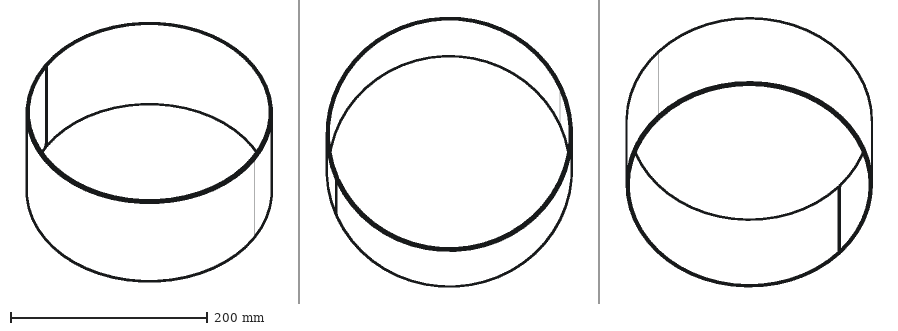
import cadquery as cq

outer_diameter = 250.0
height = 120.0
wall = 2.2
chamfer_height = 1.8
chamfer_depth = 0.8
slit_width = 2.0

outer_radius = outer_diameter / 2
inner_radius = outer_radius - wall


def make_ring():
    """Revolve the wall section, with steep chamfers on both outer rims."""
    rim_radius = outer_radius - chamfer_depth
    section = [
        (inner_radius, 0),
        (rim_radius, 0),
        (outer_radius, chamfer_height),
        (outer_radius, height - chamfer_height),
        (rim_radius, height),
        (inner_radius, height),
    ]
    return cq.Workplane("XZ").polyline(section).close().revolve(360, (0, 0, 0), (0, 1, 0))


def make_slit():
    """Cutter through the -X wall, with one side on the XZ plane."""
    depth = 2 * wall
    return (
        cq.Workplane("XY")
        .box(depth, slit_width, height, centered=(True, False, False))
        .translate((-(outer_radius - wall / 2), 0, 0))
    )


result = make_ring().cut(make_slit())